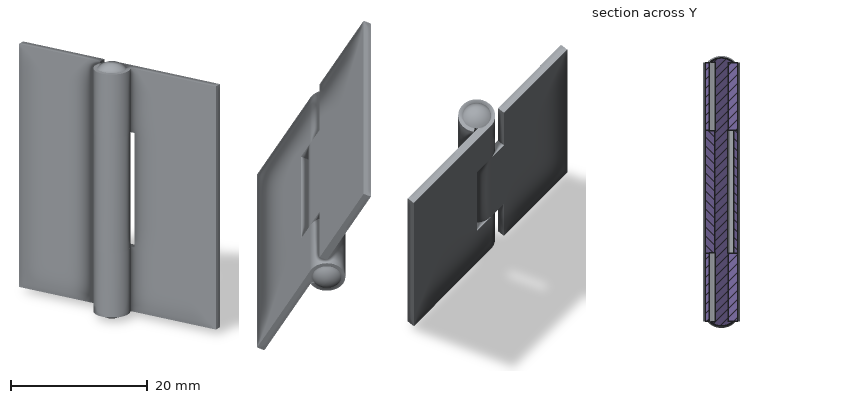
import cadquery as cq
import math

overall_height = 39.8
overall_width = 34.0
sheet = 1.2
knuckle_radius = 2.7
head_radius = 2.1
head_height = 0.95
middle_knuckle = 17.9
leaf_gap = 0.28
seam_angle = 33.0

leaf_height = overall_height - 2 * head_height
leaf_reach = overall_width / 2
end_knuckle = (leaf_height - middle_knuckle) / 2
bore_radius = knuckle_radius - sheet
notch_edge = knuckle_radius + leaf_gap


def polar(radius, degrees):
    angle = math.radians(degrees)
    return radius * math.cos(angle), radius * math.sin(angle)


def rolled_strip(bottom, height):
    """Strip of leaf along +X whose inner end is rolled around the pin."""
    middle_angle = (90 + 360 + seam_angle) / 2
    return (
        cq.Workplane("XY", origin=(0, 0, bottom))
        .moveTo(leaf_reach, knuckle_radius)
        .lineTo(0, knuckle_radius)
        .threePointArc(polar(knuckle_radius, middle_angle), polar(knuckle_radius, seam_angle))
        .lineTo(*polar(bore_radius, seam_angle))
        .threePointArc(polar(bore_radius, middle_angle), (0, bore_radius))
        .lineTo(leaf_reach, bore_radius)
        .close()
        .extrude(height)
    )


def flat_plate():
    """Full-height plate on the +X side, clear of the knuckles."""
    return (
        cq.Workplane("XY", origin=(notch_edge, bore_radius, -leaf_height / 2))
        .box(leaf_reach - notch_edge, sheet, leaf_height, centered=False)
    )


def make_right_leaf():
    leaf = flat_plate()
    for bottom in (-leaf_height / 2, middle_knuckle / 2):
        leaf = leaf.union(rolled_strip(bottom, end_knuckle))
    return leaf


def make_left_leaf():
    leaf = flat_plate().union(rolled_strip(-middle_knuckle / 2, middle_knuckle))
    return leaf.mirror("YZ")


def make_pin():
    """Shank filling the bores, with a domed head resting on each end knuckle."""
    head_base = leaf_height / 2
    head_top = overall_height / 2
    dome_radius = (head_radius**2 + head_height**2) / (2 * head_height)
    half_angle = math.degrees(math.asin(head_radius / dome_radius)) / 2
    dome_x, dome_z = polar(dome_radius, 90 - half_angle)
    dome_z += head_top - dome_radius
    return (
        cq.Workplane("XZ")
        .moveTo(0, -head_top)
        .threePointArc((dome_x, -dome_z), (head_radius, -head_base))
        .lineTo(bore_radius, -head_base)
        .lineTo(bore_radius, head_base)
        .lineTo(head_radius, head_base)
        .threePointArc((dome_x, dome_z), (0, head_top))
        .close()
        .revolve(360, (0, 0, 0), (0, 1, 0))
    )


right_leaf = make_right_leaf()
left_leaf = make_left_leaf()
pin = make_pin()

result = cq.Compound.makeCompound([right_leaf.val(), left_leaf.val(), pin.val()])